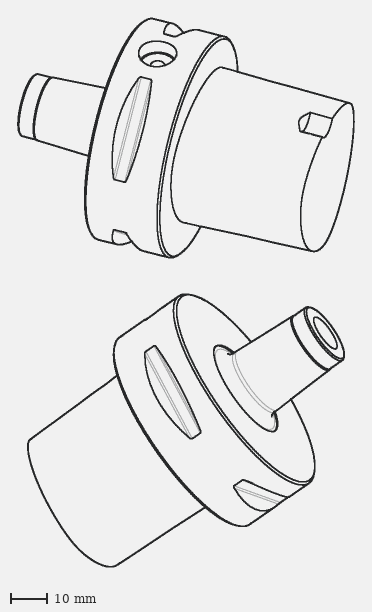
import cadquery as cq
import math

LENGTH = 88.0
NOSE_TAPER_START = 5.0
NOSE_TAPER_END = 23.9
FILLET_START = 25.0
FLANGE_FRONT = 28.0
FLANGE_BACK = 50.2
FEATURE_X = 38.0

TAPER_START_RADIUS = 18.0 / 2
NOSE_ROOT_RADIUS = 19.8 / 2
NOSE_CHAMFER = 0.4
PILOT_RADIUS = 17.8 / 2
PILOT_STEP_LENGTH = 0.35
ROOT_FILLET = 3.3
RECESS_RADIUS = 14.3
BORE_DIAMETER = 10.5
BORE_DEPTH = 4.8

FLANGE_RADIUS = 63.0 / 2
FLANGE_CHAMFER = 0.6

SLOT_COUNT = 4
SLOT_FIRST_ANGLE = 45
SLOT_FLOOR_DISTANCE = 27.9
SLOT_FLOOR_WIDTH = 3.5
SLOT_WALL_ANGLE = 30
SLOT_FLOOR_FILLET = 0.6

POCKET_DIAMETER = 10.5
POCKET_FLOOR_DIAMETER = 10.0
POCKET_DEPTH = 4.75
DIMPLE_DIAMETER = 4.0
DRILL_HALF_ANGLE = 59

SHANK_ROOT_RADIUS = 22.1
SHANK_END_RADIUS = 21.1
LOBE_HEIGHT = 1.4
OUTLINE_POINTS = 48

KEYWAY_RADIUS = 4.6
KEYWAY_AXIS_HEIGHT = 21.7
KEYWAY_LENGTH = 6.5

OVERSHOOT = 0.9


def make_turned_body():
    """Nose, root fillet with its shallow face recess, and flange."""
    fillet_end = FILLET_START + ROOT_FILLET
    fillet_top = NOSE_ROOT_RADIUS + ROOT_FILLET
    diagonal = ROOT_FILLET * math.sqrt(0.5)
    return (
        cq.Workplane("XY")
        .moveTo(0, 0)
        .lineTo(0, PILOT_RADIUS - NOSE_CHAMFER)
        .lineTo(NOSE_CHAMFER, PILOT_RADIUS)
        .lineTo(NOSE_TAPER_START - PILOT_STEP_LENGTH, PILOT_RADIUS)
        .lineTo(NOSE_TAPER_START, TAPER_START_RADIUS)
        .lineTo(NOSE_TAPER_END, NOSE_ROOT_RADIUS)
        .lineTo(FILLET_START, NOSE_ROOT_RADIUS)
        .threePointArc((FILLET_START + diagonal, fillet_top - diagonal), (fillet_end, fillet_top))
        .lineTo(fillet_end, RECESS_RADIUS)
        .lineTo(FLANGE_FRONT, RECESS_RADIUS)
        .lineTo(FLANGE_FRONT, FLANGE_RADIUS - FLANGE_CHAMFER)
        .lineTo(FLANGE_FRONT + FLANGE_CHAMFER, FLANGE_RADIUS)
        .lineTo(FLANGE_BACK - FLANGE_CHAMFER, FLANGE_RADIUS)
        .lineTo(FLANGE_BACK, FLANGE_RADIUS - FLANGE_CHAMFER)
        .lineTo(FLANGE_BACK, 0)
        .close()
        .revolve(360, (0, 0, 0), (1, 0, 0))
    )


def lobed_point(radius, turn):
    """Point of a constant-width three-lobed curve; turn runs from 0 to 1."""
    angle = 2 * math.pi * turn
    support = radius + LOBE_HEIGHT * math.cos(3 * angle)
    slope = -3 * LOBE_HEIGHT * math.sin(3 * angle)
    toward_lobe = support * math.cos(angle) - slope * math.sin(angle)
    sideways = support * math.sin(angle) + slope * math.cos(angle)
    return sideways, -toward_lobe


def lobed_outline(radius):
    return [lobed_point(radius, index / OUTLINE_POINTS) for index in range(OUTLINE_POINTS)]


def make_shank():
    return (
        cq.Workplane("YZ", origin=(FLANGE_BACK, 0, 0))
        .spline(lobed_outline(SHANK_ROOT_RADIUS), periodic=True)
        .close()
        .workplane(offset=LENGTH - FLANGE_BACK)
        .spline(lobed_outline(SHANK_END_RADIUS), periodic=True)
        .close()
        .loft(ruled=True)
    )


def drill_tip_length(radius):
    return radius / math.tan(math.radians(DRILL_HALF_ANGLE))


def make_bore():
    return cq.Workplane("YZ").circle(BORE_DIAMETER / 2).extrude(BORE_DEPTH)


def make_slot_cutter():
    """Trapezoidal bar along Y on the +Z side, reaching past the rim."""
    height = FLANGE_RADIUS - SLOT_FLOOR_DISTANCE + OVERSHOOT
    half_floor = SLOT_FLOOR_WIDTH / 2
    half_top = half_floor + height * math.tan(math.radians(SLOT_WALL_ANGLE))
    return (
        cq.Workplane("XZ", origin=(FEATURE_X, 0, SLOT_FLOOR_DISTANCE))
        .polyline([(-half_floor, 0), (half_floor, 0), (half_top, height), (-half_top, height)])
        .close()
        .extrude(FLANGE_RADIUS, both=True)
        .edges("|Y and <Z")
        .fillet(SLOT_FLOOR_FILLET)
    )


def make_pocket():
    """Radial pocket with a chamfered floor corner and a conical dimple."""
    floor = FLANGE_RADIUS - POCKET_DEPTH
    pocket_radius = POCKET_DIAMETER / 2
    floor_radius = POCKET_FLOOR_DIAMETER / 2
    dimple_radius = DIMPLE_DIAMETER / 2
    return (
        cq.Workplane("XZ", origin=(FEATURE_X, 0, 0))
        .moveTo(0, floor - drill_tip_length(dimple_radius))
        .lineTo(dimple_radius, floor)
        .lineTo(floor_radius, floor)
        .lineTo(pocket_radius, floor + pocket_radius - floor_radius)
        .lineTo(pocket_radius, FLANGE_RADIUS + OVERSHOOT)
        .lineTo(0, FLANGE_RADIUS + OVERSHOOT)
        .close()
        .revolve(360, (0, 0, 0), (0, 1, 0))
    )


def make_keyway():
    """Drill-shaped cutter along X: a cylinder with a conical inner end."""
    shoulder = LENGTH - KEYWAY_LENGTH
    return (
        cq.Workplane("XZ", origin=(0, 0, KEYWAY_AXIS_HEIGHT))
        .moveTo(shoulder - drill_tip_length(KEYWAY_RADIUS), 0)
        .lineTo(shoulder, KEYWAY_RADIUS)
        .lineTo(LENGTH + OVERSHOOT, KEYWAY_RADIUS)
        .lineTo(LENGTH + OVERSHOOT, 0)
        .close()
        .revolve(360, (0, 0, 0), (1, 0, 0))
    )


result = make_turned_body().union(make_shank())
result = result.cut(make_bore()).cut(make_pocket()).cut(make_keyway())

slot_cutter = make_slot_cutter()
for index in range(SLOT_COUNT):
    angle = SLOT_FIRST_ANGLE + index * 360 / SLOT_COUNT
    result = result.cut(slot_cutter.rotate((0, 0, 0), (1, 0, 0), angle))